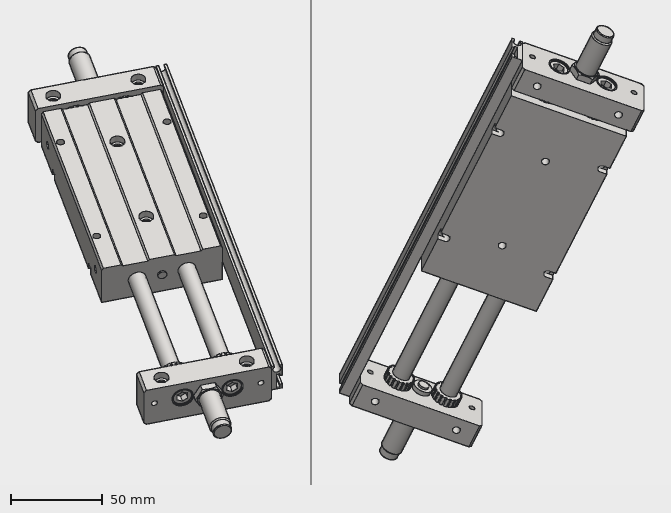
import cadquery as cq
import math


axis_z = 15.0
frame_length = 240.0
rod_diameter = 10.0
rod_y = 14.0
end_gap = 5.0
screw_head_diameter = 8.0
screw_head_depth = 4.5
screw_lead_diameter = 5.0
screw_lead_depth = 1.0
screw_diameter = 4.2

plate_length = 15.0
plate_width = 72.0
plate_height = 26.0
plate_chamfer = 1.5
mount_hole_y = 24.0
side_hole_y = 30.0
side_hole_diameter = 3.3
plate_outer_x = frame_length / 2
plate_inner_x = plate_outer_x - plate_length
plate_x = plate_outer_x - plate_length / 2

plug_rim_diameter = 12.0
plug_rim_depth = 0.5
plug_diameter = 10.5
plug_depth = 1.0
socket_across_flats = 6.0
socket_depth = 4.0
bumper_diameter = 16.0
bumper_length = end_gap
bumper_band_start = 1.6
bumper_band_width = 0.9
bumper_notch_count = 18
bumper_notch_width = 0.9
bumper_notch_depth = 0.75

rail_depth = 6.0
rail_bottom = 8.0
rail_top = 26.0
rail_web = 2.8
rail_floor = 1.3
rail_lip = 1.4
lower_lip_top = 11.3
upper_lip_bottom = 17.7
upper_floor_bottom = 19.0
sensor_groove_diameter = 4.5
sensor_groove_mouth = 3.0
sensor_groove_z = 23.2

housing_length = 125.0
housing_width = 68.0
housing_bottom = 2.0
housing_top = 28.0
housing_chamfer_run = 1.0
housing_chamfer_drop = 1.5
pad_step = 1.0
centre_pad_half = 7.0
side_pad_inner = 23.0
corner_hole_diameter = 4.2
corner_hole_spacing = 75.0
corner_hole_y = 30.0
corner_slot_height = 4.0
centre_hole_spacing = 60.0
port_spacing = 99.0
port_diameter = 4.2
port_depth = 2.0
port_drill_diameter = 2.0
port_drill_depth = 5.0
stop_diameter = 5.0
stop_height = 1.0
housing_start = -plate_inner_x + end_gap
housing_end = housing_start + housing_length
housing_x = housing_start + housing_length / 2

shock_diameter = 12.0
shock_neck_diameter = 10.5
shock_reach = 31.0
shock_tip_length = 4.3
shock_cone_length = 0.75
shock_end_chamfer = 0.5
shock_nose_length = 2.6
plunger_diameter = 6.0
plunger_length = 1.2
nut_across_flats = 14.0
nut_thickness = 4.0
nut_chamfer_diameter = 13.6
nut_chamfer_angle = math.radians(60)


def x_cylinder(start, length, diameter, y=0.0):
    """Cylinder at axis height, from x = start along +X."""
    return cq.Workplane("YZ", origin=(start, y, axis_z)).circle(diameter / 2).extrude(length)


def x_hexagon(start, length, across_flats, turn=0.0):
    """Hexagonal bar at axis height on y = 0; without a turn its corners point to +Y and -Y."""
    corner_diameter = across_flats / math.cos(math.pi / 6)
    bar = cq.Workplane("YZ", origin=(start, 0, axis_z)).polygon(6, corner_diameter).extrude(length)
    return bar.rotate((0, 0, axis_z), (1, 0, axis_z), turn)


def z_cylinder(x, y, bottom, top, diameter):
    """Upright cylinder between two heights."""
    return cq.Workplane("XY", origin=(x, y, bottom)).circle(diameter / 2).extrude(top - bottom)


def mirrored_to_left(shape):
    """Copy of a right-hand shape at the other end of the unit."""
    return shape.mirror("YZ")


def sunk_screw_hole(x, y, bottom, top):
    """Cutter for a through hole with a wider lead and a counterbore at the top."""
    hole = z_cylinder(x, y, bottom, top, screw_diameter)
    seat = top - screw_head_depth
    lead = z_cylinder(x, y, seat - screw_lead_depth, seat, screw_lead_diameter)
    return hole.union(lead).union(z_cylinder(x, y, seat, top, screw_head_diameter))


def make_bumper(y):
    """Ring inside the right plate: a smooth band between two rings of axial notches."""
    start = plate_inner_x - bumper_length
    floor_radius = bumper_diameter / 2 - bumper_notch_depth
    bumper = x_cylinder(start, bumper_length, bumper_diameter, y)
    notch = cq.Workplane("XY", origin=(start, y, axis_z + floor_radius)).box(
        bumper_length, bumper_notch_width, 2 * bumper_notch_depth, centered=(False, True, False)
    )
    notch_pitch = 360 / bumper_notch_count
    for index in range(bumper_notch_count):
        angle = (index + 0.5) * notch_pitch
        bumper = bumper.cut(notch.rotate((0, y, axis_z), (1, y, axis_z), angle))
    return bumper.union(x_cylinder(start + bumper_band_start, bumper_band_width, bumper_diameter, y))


def make_right_plate():
    plate = (
        cq.Workplane("XY", origin=(plate_x, 0, 0))
        .box(plate_length, plate_width, plate_height, centered=(True, True, False))
        .edges("|X").chamfer(plate_chamfer)
    )
    for side in (-1, 1):
        plate = plate.cut(sunk_screw_hole(plate_x, side * mount_hole_y, 0, plate_height))
        plate = plate.cut(x_cylinder(plate_inner_x, plate_length, side_hole_diameter, side * side_hole_y))
        rim_start = plate_outer_x - plug_rim_depth
        plate = plate.cut(x_cylinder(rim_start, plug_rim_depth, plug_rim_diameter, side * rod_y))
        plate = plate.cut(x_cylinder(plate_outer_x - plug_depth, plug_depth, plug_diameter, side * rod_y))
        socket_start = plate_outer_x - plug_depth - socket_depth
        socket = x_hexagon(socket_start, socket_depth, socket_across_flats, turn=30)
        plate = plate.cut(socket.translate((0, side * rod_y, 0)))
        plate = plate.union(make_bumper(side * rod_y))
    return plate


def make_rail():
    """Extrusion along the +Y faces of the plates: sensor groove on top, hooked channel on the side."""
    back = plate_width / 2
    front = back + rail_depth
    web_face = back + rail_web
    lip_face = front - rail_lip
    lower_floor_top = rail_bottom + rail_floor
    groove_y = back + rail_depth / 2
    outline = [
        (back, rail_bottom),
        (front, rail_bottom),
        (front, lower_lip_top),
        (lip_face, lower_lip_top),
        (lip_face, lower_floor_top),
        (web_face, lower_floor_top),
        (web_face, upper_floor_bottom),
        (lip_face, upper_floor_bottom),
        (lip_face, upper_lip_bottom),
        (front, upper_lip_bottom),
        (front, rail_top),
        (back, rail_top),
    ]
    plane = cq.Workplane("YZ", origin=(-frame_length / 2, 0, 0))
    rail = plane.polyline(outline).close().extrude(frame_length)
    groove = plane.center(groove_y, sensor_groove_z).circle(sensor_groove_diameter / 2).extrude(frame_length)
    mouth = cq.Workplane("XY", origin=(0, groove_y, sensor_groove_z)).box(
        frame_length, sensor_groove_mouth, rail_top - sensor_groove_z, centered=(True, True, False)
    )
    return rail.cut(groove).cut(mouth)


def make_right_end(end_unit):
    """Right end unit with both guide rods, which run through the housing to the left bumpers."""
    rod_start = -plate_inner_x + bumper_length
    rod_length = plate_inner_x - rod_start
    right_end = end_unit
    for side in (-1, 1):
        right_end = right_end.union(x_cylinder(rod_start, rod_length, rod_diameter, side * rod_y))
    return right_end


def housing_block():
    """Prism with three raised pads on top and chamfered upper corners."""
    half_width = housing_width / 2
    recess_z = housing_top - pad_step
    right_half = [
        (centre_pad_half, housing_top),
        (centre_pad_half + pad_step, recess_z),
        (side_pad_inner - pad_step, recess_z),
        (side_pad_inner, housing_top),
        (half_width - housing_chamfer_run, housing_top),
        (half_width, housing_top - housing_chamfer_drop),
        (half_width, housing_bottom),
    ]
    left_half = [(-y, z) for y, z in reversed(right_half)]
    plane = cq.Workplane("YZ", origin=(housing_start, 0, 0))
    return plane.polyline(right_half + left_half).close().extrude(housing_length)


def corner_hole(x, side):
    """Cutter for a through hole with a slot under it, open to the side face."""
    hole = z_cylinder(x, side * corner_hole_y, housing_bottom, housing_top, corner_hole_diameter)
    slot_length = housing_width / 2 - corner_hole_y
    slot = cq.Workplane("XY", origin=(x, side * (corner_hole_y + slot_length / 2), housing_bottom)).box(
        corner_hole_diameter, slot_length, corner_slot_height, centered=(True, True, False)
    )
    return hole.union(slot)


def side_port(x):
    """Cutter for a stepped blind port in the -Y face."""
    face = cq.Workplane("XZ", origin=(x, -housing_width / 2, axis_z))
    port = face.circle(port_diameter / 2).extrude(-port_depth)
    return port.union(face.circle(port_drill_diameter / 2).extrude(-port_drill_depth))


def make_housing():
    housing = housing_block()
    for side in (-1, 1):
        housing = housing.cut(x_cylinder(housing_start, housing_length, rod_diameter, side * rod_y))
    for end in (-1, 1):
        centre_hole_x = housing_x + end * centre_hole_spacing / 2
        housing = housing.cut(sunk_screw_hole(centre_hole_x, 0, housing_bottom, housing_top))
        housing = housing.cut(side_port(housing_x + end * port_spacing / 2))
        for side in (-1, 1):
            housing = housing.cut(corner_hole(housing_x + end * corner_hole_spacing / 2, side))
    housing = housing.union(x_cylinder(housing_end, stop_height, stop_diameter))
    return housing.union(x_cylinder(housing_start - stop_height, stop_height, stop_diameter))


def make_nut():
    """Hexagon nut against the plate, its corners cut by a cone at the free end."""
    nut = x_hexagon(plate_outer_x, nut_thickness, nut_across_flats)
    nut_end = plate_outer_x + nut_thickness
    end_radius = nut_chamfer_diameter / 2
    base_radius = end_radius + nut_thickness * math.tan(nut_chamfer_angle)
    profile = [
        (plate_outer_x, 0),
        (plate_outer_x, base_radius),
        (nut_end, end_radius),
        (nut_end, 0),
    ]
    cone = cq.Workplane("XY").polyline(profile).close().revolve(360, (0, 0), (1, 0))
    return nut.intersect(cone.translate((0, 0, axis_z)))


def make_right_shock():
    """Turned body through the right plate, with its lock nut."""
    nose_x = plate_inner_x - shock_nose_length
    end_x = plate_outer_x + shock_reach
    tip_x = end_x - shock_tip_length
    neck_radius = shock_neck_diameter / 2
    shock_radius = shock_diameter / 2
    plunger_radius = plunger_diameter / 2
    profile = [
        (nose_x - plunger_length, 0),
        (nose_x - plunger_length, plunger_radius),
        (nose_x, plunger_radius),
        (nose_x, neck_radius),
        (plate_inner_x, neck_radius),
        (plate_inner_x, shock_radius),
        (tip_x - shock_cone_length, shock_radius),
        (tip_x, neck_radius),
        (end_x - shock_end_chamfer, neck_radius),
        (end_x, neck_radius - shock_end_chamfer),
        (end_x, 0),
    ]
    shock = cq.Workplane("XY").polyline(profile).close().revolve(360, (0, 0), (1, 0))
    return shock.translate((0, 0, axis_z)).union(make_nut())


end_unit = make_right_plate().union(make_right_shock())
left_end = mirrored_to_left(end_unit)
right_end = make_right_end(end_unit)
rail = make_rail()
housing = make_housing()
result = cq.Compound.makeCompound([housing.val(), left_end.val(), right_end.val(), rail.val()])